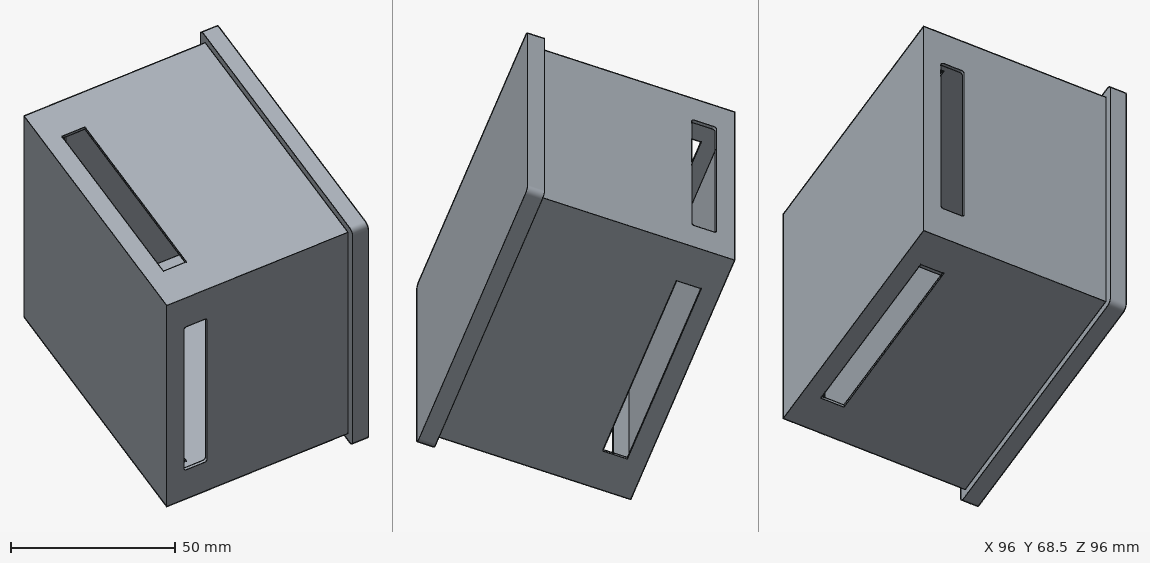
import cadquery as cq

flange_size = 96.0
flange_thickness = 5.5
flange_corner_radius = 2.0

total_depth = 68.5
housing_size = 90.0
housing_depth = total_depth - flange_thickness
wall = 1.0

slot_length = 64.0
slot_width = 8.0
slot_front_margin = 6.0
side_slot_corner_radius = 1.0

front_y = -housing_depth
slot_center_y = front_y + slot_front_margin + slot_width / 2


def block_along_y(size, y_start, y_end):
    """Square block centred on the Y axis, between two Y positions."""
    length = y_end - y_start
    return cq.Workplane("XY").box(size, length, size).translate((0, y_start + length / 2, 0))


def make_flange():
    flange = block_along_y(flange_size, 0, flange_thickness)
    return flange.edges("|Y").fillet(flange_corner_radius)


def make_cavity():
    """Space enclosed by the housing walls, its front face and the flange."""
    return block_along_y(housing_size - 2 * wall, front_y + wall, 0)


def make_top_bottom_slots():
    """Square-cornered slot passing through the top and bottom walls."""
    slot = cq.Workplane("XY").box(slot_length, slot_width, housing_size)
    return slot.translate((0, slot_center_y, 0))


def make_side_slots():
    """Slot with rounded corners passing through both side walls."""
    slot = cq.Workplane("XY").box(housing_size, slot_width, slot_length)
    slot = slot.edges("|X").fillet(side_slot_corner_radius)
    return slot.translate((0, slot_center_y, 0))


housing = block_along_y(housing_size, front_y, 0)
result = (
    housing.union(make_flange())
    .cut(make_cavity())
    .cut(make_top_bottom_slots())
    .cut(make_side_slots())
)